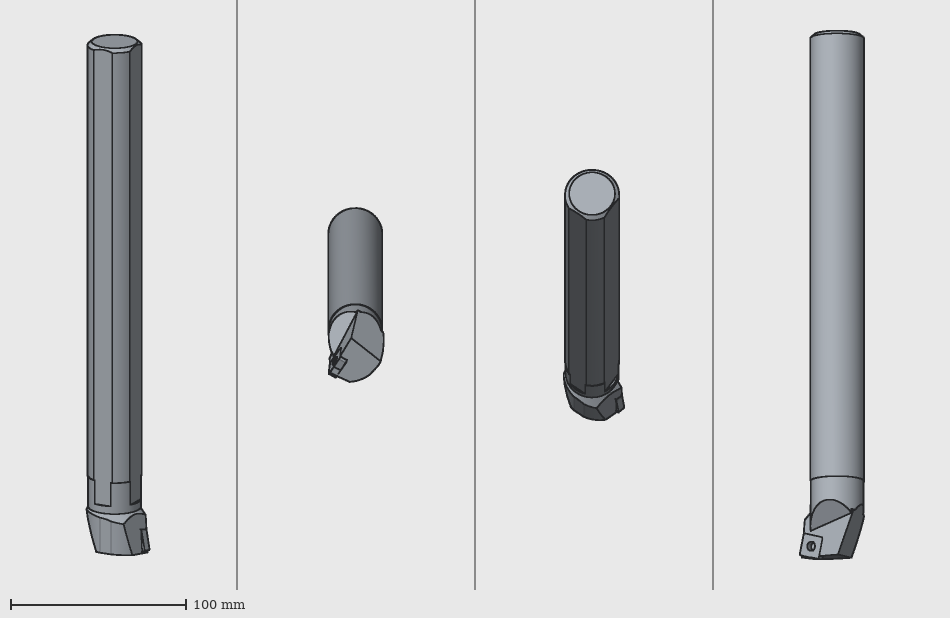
import cadquery as cq
import math

OVERALL_LENGTH = 304.3
SHANK_RADIUS = 15.5
NECK_RADIUS = 15.2
NECK_TOP = 45.0
FLAT_END = 31.0
FRONT_FLAT_DISTANCE = 14.3
SIDE_FLAT_DISTANCE = 13.7
TOP_CHAMFER_WIDTH = 2.5
TOP_CHAMFER_HEIGHT = 2.0

HEAD_RADIUS = 20.5
HEAD_X = 3.0
HEAD_Y = 2.7
HEAD_FLAT_Y = -17.3
SHOULDER_TOP = 26.5
SHOULDER_REACH = 18.3

RELIEF_TOP = 30.5
RELIEF_ANGLE = 24.0

END_HEIGHT = 1.8
END_RISE_ANGLE = 5.0

CLEARANCE_X = 21.3
CLEARANCE_LEAN = 9.5
CLEARANCE_TURN = 15.6

RAKE_Y = 4.5
RAKE_X_TILT = 11.3
RAKE_Z_TILT = 6.0
RAMP_TOP = 32.0
RAMP_ANGLE = 38.0

INSERT_SIDE = 12.8
INSERT_THICKNESS = 4.5
INSERT_NOSE_RADIUS = 1.0
INSERT_HOLE_DIAMETER = 5.2
INSERT_TURN = 16.0
INSERT_TIP_X = 10.3
INSERT_TIP_Z = -0.2

CUTTER_SIZE = 121.7


def half_space(origin, normal, reference):
    """Block on the outer side of a plane, used to cut away material beyond it."""
    plane = cq.Plane(origin=origin, xDir=reference, normal=normal)
    return cq.Workplane(plane).rect(CUTTER_SIZE, CUTTER_SIZE).extrude(CUTTER_SIZE)


def flats(bar):
    """Cut the two flats, which stop short of the head."""
    height = OVERALL_LENGTH - FLAT_END
    depth = SHANK_RADIUS
    front = cq.Workplane().box(2 * SHANK_RADIUS, depth, height, centered=(True, False, False))
    front = front.translate((0, -FRONT_FLAT_DISTANCE - depth, FLAT_END))
    side = cq.Workplane().box(depth, 2 * SHANK_RADIUS, height, centered=(False, True, False))
    side = side.translate((SIDE_FLAT_DISTANCE, 0, FLAT_END))
    return bar.cut(front).cut(side)


def make_shank():
    """Chamfered round bar with a slightly thinner neck and two flats."""
    profile = [
        (0, 0),
        (NECK_RADIUS, 0),
        (NECK_RADIUS, NECK_TOP),
        (SHANK_RADIUS, NECK_TOP),
        (SHANK_RADIUS, OVERALL_LENGTH - TOP_CHAMFER_HEIGHT),
        (SHANK_RADIUS - TOP_CHAMFER_WIDTH, OVERALL_LENGTH),
        (0, OVERALL_LENGTH),
    ]
    bar = cq.Workplane("XZ").polyline(profile).close().revolve(360, (0, 0, 0), (0, 1, 0))
    return flats(bar)


def make_head_blank():
    """Offset round with a flat front, topped by a cone around the shank axis."""
    blank = cq.Workplane().center(HEAD_X, HEAD_Y).circle(HEAD_RADIUS).extrude(SHOULDER_TOP)
    blank = blank.cut(half_space((0, HEAD_FLAT_Y, 0), (0, -1, 0), (1, 0, 0)))
    cone_radius = NECK_RADIUS + SHOULDER_REACH
    envelope = [
        (0, 0),
        (cone_radius, 0),
        (cone_radius, SHOULDER_TOP - SHOULDER_REACH),
        (NECK_RADIUS, SHOULDER_TOP),
        (0, SHOULDER_TOP),
    ]
    cone = cq.Workplane("XZ").polyline(envelope).close().revolve(360, (0, 0, 0), (0, 1, 0))
    return blank.intersect(cone)


def rake_plane():
    """Plane of the rake face: local X and Y run along the face, Z points out of it."""
    x_slope = math.tan(math.radians(RAKE_X_TILT))
    z_slope = math.tan(math.radians(RAKE_Z_TILT))
    tip_y = RAKE_Y - x_slope * INSERT_TIP_X + z_slope * INSERT_TIP_Z
    return cq.Plane(
        origin=(INSERT_TIP_X, tip_y, INSERT_TIP_Z),
        xDir=(-1, x_slope, 0),
        normal=(x_slope, 1, -z_slope),
    )


def beyond_rake_face():
    """Everything on the open +Y side of the rake face."""
    return cq.Workplane(rake_plane()).rect(CUTTER_SIZE, CUTTER_SIZE).extrude(CUTTER_SIZE)


def beyond_ramp():
    """Everything outside the ramp that runs down from the +Y side of the shank."""
    angle = math.radians(RAMP_ANGLE)
    return half_space((0, SHANK_RADIUS, RAMP_TOP), (0, math.cos(angle), -math.sin(angle)), (1, 0, 0))


def make_fluted_body():
    """Shank and head with the +Y side opened: the head ends at the rake face, the shank at the ramp."""
    shank = make_shank().cut(beyond_rake_face().intersect(beyond_ramp()))
    head = make_head_blank().cut(beyond_rake_face())
    return shank.union(head)


def cut_reliefs(body):
    """Cut the slanted -X relief, the tilted end and the side clearance."""
    slant = math.radians(RELIEF_ANGLE)
    rise = math.radians(END_RISE_ANGLE)
    lean_slope = math.tan(math.radians(CLEARANCE_LEAN))
    turn_slope = math.tan(math.radians(CLEARANCE_TURN))
    relief = half_space(
        (-NECK_RADIUS, 0, RELIEF_TOP), (-math.cos(slant), 0, -math.sin(slant)), (0, 1, 0)
    )
    end = half_space((0, 0, END_HEIGHT), (0, -math.sin(rise), -math.cos(rise)), (1, 0, 0))
    clearance = half_space((CLEARANCE_X, 0, 0), (1, -turn_slope, lean_slope), (turn_slope, 1, 0))
    head_zone = cq.Workplane().box(CUTTER_SIZE, CUTTER_SIZE, SHOULDER_TOP, centered=(True, True, False))
    return body.cut(relief).cut(end).cut(clearance.intersect(head_zone))


def make_insert_block():
    """Solid square insert set into the rake face, tip down."""
    block = cq.Workplane().rect(INSERT_SIDE, INSERT_SIDE, centered=False).extrude(-INSERT_THICKNESS)
    block = block.edges("|Z").fillet(INSERT_NOSE_RADIUS)
    turned = block.translate((-INSERT_SIDE, 0, 0)).rotate((0, 0, 0), (0, 0, 1), -INSERT_TURN)
    return cq.Workplane(turned.val().moved(cq.Location(rake_plane())))


def make_insert(block):
    """Insert with its central through hole."""
    centre = block.val().Center()
    hole = cq.Solid.makeCylinder(
        INSERT_HOLE_DIAMETER / 2,
        2 * INSERT_THICKNESS,
        centre - rake_plane().zDir * INSERT_THICKNESS,
        rake_plane().zDir,
    )
    return block.cut(cq.Workplane(hole))


insert_block = make_insert_block()
holder = cut_reliefs(make_fluted_body()).cut(insert_block)
insert = make_insert(insert_block)

result = cq.Compound.makeCompound([holder.val(), insert.val()])